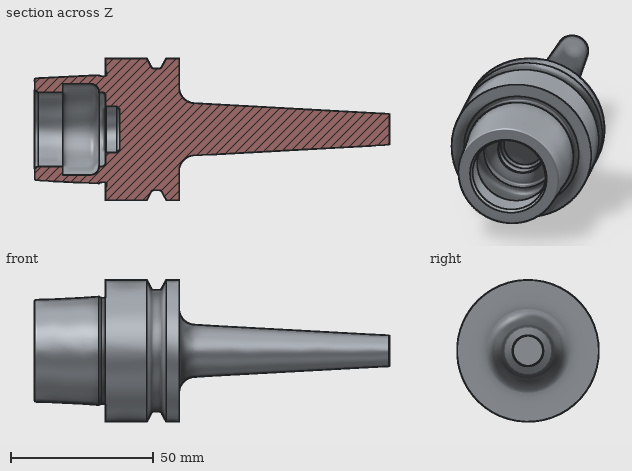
import cadquery as cq
import math

total_length = 124.9
flange_start = 25.0
flange_end = 51.0
taper_end = 22.6
neck_start = 23.5
neck_end = 24.6

taper_end_radius = 19.1
taper_slope = 0.05
mouth_round = 0.9
neck_radius = 18.7

undercut_fillet = 0.81
undercut_wall_angle = 30.0

flange_radius = 25.0
groove_radius = 21.5
groove_floor_start = 41.3
groove_floor_end = 44.5
groove_corner_round = 0.6
groove_start = 39.6
groove_end = 46.3

arbor_root_radius = 9.2
arbor_tip_radius = 5.5
arbor_root_x = 56.5
tip_chamfer = 0.2

bore_radius = 13.0
bore_chamfer_width = 0.7
bore_chamfer_angle = 30.0
clamp_groove_start = 10.0
clamp_groove_end = 22.7
clamp_groove_radius = 16.0
bore_floor_x = 25.0
bore_floor_round = 1.1
pocket_mouth_radius = 8.4
pocket_radius = 8.1
pocket_floor_radius = 7.1
pocket_depth = 5.0

round_mid_inset = 1 - math.sqrt(0.5)


def revolve_about_x(profile):
    return profile.revolve(360, (0, 0, 0), (1, 0, 0))


def outer_profile():
    mouth_radius = taper_end_radius - taper_slope * (taper_end - mouth_round)
    mouth_round_mid = mouth_round * round_mid_inset

    sweep_end = math.radians(undercut_wall_angle)
    fillet_center_radius = neck_radius + undercut_fillet
    fillet_end = (
        neck_end + undercut_fillet * math.cos(sweep_end),
        fillet_center_radius + undercut_fillet * math.sin(sweep_end),
    )
    fillet_mid_angle = math.radians((90 - undercut_wall_angle) / 2)
    fillet_mid = (
        neck_end + undercut_fillet * math.cos(fillet_mid_angle),
        fillet_center_radius - undercut_fillet * math.sin(fillet_mid_angle),
    )
    undercut_outer_radius = fillet_end[1] + (fillet_end[0] - flange_start) / math.tan(sweep_end)

    blend = arbor_root_x - flange_end
    blend_mid = blend * math.sqrt(0.5)
    blend_center_radius = arbor_root_radius + blend

    return (
        cq.Workplane("XY")
        .moveTo(0, 0)
        .lineTo(0, mouth_radius - mouth_round)
        .threePointArc((mouth_round_mid, mouth_radius - mouth_round_mid), (mouth_round, mouth_radius))
        .lineTo(taper_end, taper_end_radius)
        .lineTo(neck_start, neck_radius)
        .lineTo(neck_end, neck_radius)
        .threePointArc(fillet_mid, fillet_end)
        .lineTo(flange_start, undercut_outer_radius)
        .lineTo(flange_start, flange_radius)
        .lineTo(flange_end, flange_radius)
        .lineTo(flange_end, blend_center_radius)
        .threePointArc(
            (arbor_root_x - blend_mid, blend_center_radius - blend_mid),
            (arbor_root_x, arbor_root_radius),
        )
        .lineTo(total_length - tip_chamfer, arbor_tip_radius)
        .lineTo(total_length, arbor_tip_radius - tip_chamfer)
        .lineTo(total_length, 0)
        .close()
    )


def cut_gripper_groove(body):
    groove = revolve_about_x(
        cq.Workplane("XY")
        .moveTo(groove_start, flange_radius)
        .lineTo(groove_floor_start, groove_radius)
        .lineTo(groove_floor_end, groove_radius)
        .lineTo(groove_end, flange_radius)
        .close()
    )
    groove_floor_edges = cq.selectors.RadiusNthSelector(0)
    return body.cut(groove.edges(groove_floor_edges).fillet(groove_corner_round))


def bore_profile():
    chamfer_length = bore_chamfer_width / math.tan(math.radians(bore_chamfer_angle))
    pocket_floor_x = bore_floor_x + pocket_depth
    pocket_chamfer = pocket_mouth_radius - pocket_radius
    pocket_cone = pocket_radius - pocket_floor_radius

    groove_round = clamp_groove_radius - bore_radius
    groove_round_mid = groove_round * round_mid_inset
    floor_round_mid = bore_floor_round * round_mid_inset
    return (
        cq.Workplane("XY")
        .moveTo(0, 0)
        .lineTo(0, bore_radius + bore_chamfer_width)
        .lineTo(chamfer_length, bore_radius)
        .lineTo(clamp_groove_start, bore_radius)
        .lineTo(clamp_groove_start, clamp_groove_radius)
        .lineTo(clamp_groove_end - groove_round, clamp_groove_radius)
        .threePointArc(
            (clamp_groove_end - groove_round_mid, clamp_groove_radius - groove_round_mid),
            (clamp_groove_end, bore_radius),
        )
        .lineTo(bore_floor_x - bore_floor_round, bore_radius)
        .threePointArc(
            (bore_floor_x - floor_round_mid, bore_radius - floor_round_mid),
            (bore_floor_x, bore_radius - bore_floor_round),
        )
        .lineTo(bore_floor_x, pocket_mouth_radius)
        .lineTo(bore_floor_x + pocket_chamfer, pocket_radius)
        .lineTo(pocket_floor_x - pocket_cone, pocket_radius)
        .lineTo(pocket_floor_x, pocket_floor_radius)
        .lineTo(pocket_floor_x, 0)
        .close()
    )


body = revolve_about_x(outer_profile())
body = cut_gripper_groove(body)
result = body.cut(revolve_about_x(bore_profile()))